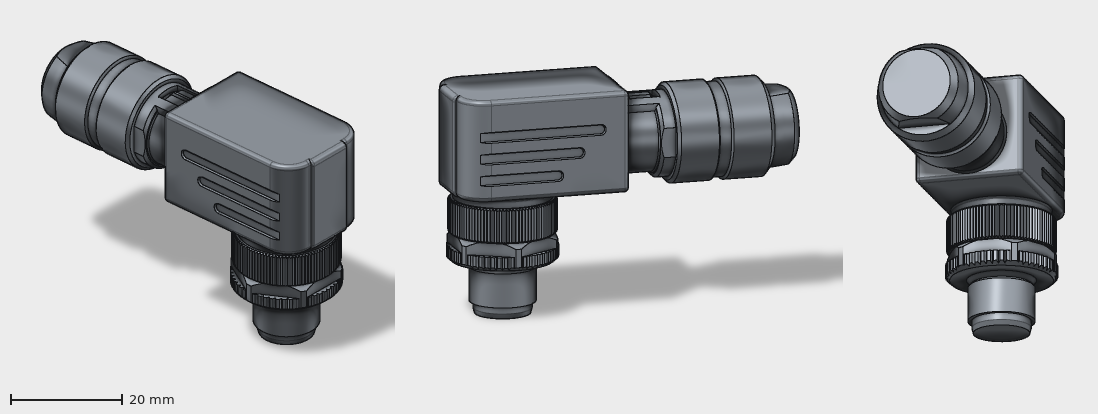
import cadquery as cq
import math

LENGTH = 64.4
PLUG_X = 53.8
PLUG_BOTTOM = -31.05
OVERLAP = 0.65

BODY_START = 33.0
BODY_END = 63.8
BODY_TOP = 10.75
BODY_BOTTOM = -8.0
BODY_WIDTH = 20.1
BODY_CORNER_R = 4.95
BODY_EDGE_R = 0.85

PLATE_WIDTH = 9.0
PLATE_END_R = 1.0
PLATE_SIDE_R = 0.3

SLOT_COUNT = 3
SLOT_WIDTH = 2.0
SLOT_PITCH = 4.0
SLOT_DEPTH = 0.4
SLOT_TAPER = 26.0
SLOT_FIRST_START = 37.35

GLAND_FACE_R = 6.3
GLAND_NOSE_X = 1.2
GLAND_NOSE_R = 7.5
GLAND_FLATS = 13.15
GLAND_SHOULDER_X = 5.1
GLAND_BAND_X = 6.0
GLAND_R = 9.15
GLAND_CONE_R = 8.2
GLAND_END_X = 23.5
GLAND_END_R = 8.55
GLAND_END_CHAMFER = 0.6
GROOVE_R = 8.6
GROOVE_CHAMFER = 0.3
GROOVE_START = 13.1
GROOVE_END = 15.85

COLLAR_R = 7.85
COLLAR_END = 26.3
COLLAR_CHAMFER = 0.6
COLLAR_FLATS = 14.75
NECK_R = 6.75
NECK_FLARE = 0.4
NECK_ROOT = 0.25
KEY_WIDTH = 8.5

LATCH_WIDTH = 5.15
LATCH_POCKET_START = 25.0
LATCH_PAD_START = 25.95
LATCH_PAD_R = 7.4
LATCH_PAD_LEAD = 0.3
RAMP_FOOT_X = 30.0
RAMP_FOOT_Z = 6.75
RAMP_TOP_X = 33.15
RAMP_TOP_Z = 10.55
RIB_TOP = 7.85
RIB_BASE = 7.2
RIB_BASE_WIDTH = 1.15
RIB_TOP_WIDTH = 0.5
RIB_LEAD = 0.5
RIB_END = 31.55

PLUG_NECK_R = 9.0
PLUG_NECK_FLARE = 0.1
PLUG_FLARE_Z = -8.45
KNURL_TOP = -9.6
KNURL_BOTTOM = -16.05
KNURL_R = 9.85
KNURL_COUNT = 100
KNURL_DEPTH = 0.3
KNURL_CHAMFER = 0.4
NUT_R = 10.1
NUT_FLATS = 18.0
NUT_CONE_R = 9.2
NUT_CONE_Z = -17.0
TOOTH_TOP = -18.5
TOOTH_CONE_Z = -20.4
NUT_BOTTOM = -21.1
NUT_BOTTOM_R = 9.35
TOOTH_COUNT = 54
TOOTH_DEPTH = 0.45

UNDERCUT_TOP_R = 6.3
UNDERCUT_R = 5.6
UNDERCUT_Z = -22.0
SLEEVE_R = 6.05
SLEEVE_TOP = -22.5
SLEEVE_BOTTOM = -28.8
TIP_R = 5.35
TIP_END_R = 5.1
TIP_TAPER_Z = -30.1


def box(x0, x1, width, z0, z1):
    """Block centred on the XZ plane."""
    return cq.Workplane("XY").box(x1 - x0, width, z1 - z0, centered=False).translate((x0, -width / 2, z0))


def turned_about_cable(stations):
    """Solid of revolution about the X axis through (x, radius) stations."""
    outline = [(stations[0][0], 0), *stations, (stations[-1][0], 0)]
    return cq.Workplane("XZ").polyline(outline).close().revolve(360, (0, 0), (1, 0))


def turned_about_plug(stations):
    """Solid of revolution about the plug axis through (radius, z) stations."""
    outline = [(0, stations[0][1]), *stations, (0, stations[-1][1])]
    solid = cq.Workplane("XZ").polyline(outline).close().revolve(360, (0, 0), (0, 1))
    return solid.translate((PLUG_X, 0, 0))


def toothed_bar(count, tooth, z0, z1):
    """Vertical bar with teeth; tooth lists (radius, offset in pitches from the tooth middle)."""
    pitch = 2 * math.pi / count
    points = []
    for i in range(count):
        for radius, offset in tooth:
            angle = (i + offset) * pitch + math.pi / 2
            points.append((radius * math.cos(angle), radius * math.sin(angle)))
    return cq.Workplane("XY").polyline(points).close().extrude(z1 - z0).translate((PLUG_X, 0, z0))


def make_housing():
    housing = box(BODY_START, BODY_END, BODY_WIDTH, BODY_BOTTOM, BODY_TOP)
    housing = housing.edges("|Z and >X").fillet(BODY_CORNER_R)
    housing = housing.edges("|Z and <X").fillet(BODY_EDGE_R)
    housing = housing.faces("<Z or >Z").edges().fillet(BODY_EDGE_R)
    plate = box(BODY_END - 2 * OVERLAP, LENGTH, PLATE_WIDTH, BODY_BOTTOM, BODY_TOP)
    plate = plate.edges("|Y and >X").fillet(PLATE_END_R)
    plate = plate.faces(">X").edges("|Z").fillet(PLATE_SIDE_R)
    return housing.union(plate)


def make_grip_slots():
    """Three staggered slots per flank that run out on the rounded back corners."""
    floor_y = BODY_WIDTH / 2 - SLOT_DEPTH
    half = SLOT_WIDTH / 2 - SLOT_DEPTH * math.tan(math.radians(SLOT_TAPER))
    slots = cq.Workplane("XY")
    for i in range(SLOT_COUNT):
        z = SLOT_PITCH * (1 - i)
        arc_x = SLOT_FIRST_START + SLOT_PITCH * i + SLOT_WIDTH / 2
        slot = (
            cq.Workplane("XZ", origin=(0, -floor_y, z))
            .moveTo(BODY_END, half)
            .lineTo(arc_x, half)
            .threePointArc((arc_x - half, 0), (arc_x, -half))
            .lineTo(BODY_END, -half)
            .close()
            .extrude(SLOT_DEPTH, taper=-SLOT_TAPER)
        )
        slots = slots.add(slot).add(slot.mirror("XZ"))
    return slots.combine()


def make_gland():
    """Cable gland with a flatted, conical nose and a grooved grip band."""
    gland = turned_about_cable([
        (0, GLAND_FACE_R),
        (GLAND_NOSE_X, GLAND_NOSE_R),
        (GLAND_SHOULDER_X, GLAND_CONE_R),
        (GLAND_BAND_X, GLAND_R),
        (GROOVE_START, GLAND_R),
        (GROOVE_START + GROOVE_CHAMFER, GROOVE_R),
        (GROOVE_END - GROOVE_CHAMFER, GROOVE_R),
        (GROOVE_END, GLAND_R),
        (GLAND_END_X - GLAND_END_CHAMFER, GLAND_R),
        (GLAND_END_X, GLAND_END_R),
    ])
    above_flat = box(0, GLAND_SHOULDER_X, 2 * GLAND_R, GLAND_FLATS / 2, GLAND_R)
    return gland.cut(above_flat).cut(above_flat.mirror("XY"))


def make_latch():
    """Round pad with a tapered rib along its crest and a ramp up to the housing top."""
    end_x = BODY_START + OVERLAP
    pad = turned_about_cable([
        (LATCH_PAD_START, NECK_R),
        (LATCH_PAD_START + LATCH_PAD_LEAD, LATCH_PAD_R),
        (end_x, LATCH_PAD_R),
    ])
    pad = pad.intersect(box(LATCH_PAD_START, end_x, LATCH_WIDTH, 0, LATCH_PAD_R))
    ramp = (
        cq.Workplane("XZ")
        .polyline([(RAMP_FOOT_X, RAMP_FOOT_Z), (RAMP_TOP_X, RAMP_TOP_Z), (RAMP_TOP_X, RAMP_FOOT_Z)])
        .close()
        .extrude(LATCH_WIDTH / 2, both=True)
    )
    rib_section = (
        cq.Workplane("YZ", origin=(LATCH_PAD_START, 0, 0))
        .polyline([
            (-RIB_BASE_WIDTH / 2, RIB_BASE),
            (RIB_BASE_WIDTH / 2, RIB_BASE),
            (RIB_TOP_WIDTH / 2, RIB_TOP),
            (-RIB_TOP_WIDTH / 2, RIB_TOP),
        ])
        .close()
        .extrude(RIB_END - LATCH_PAD_START)
    )
    rib_side = (
        cq.Workplane("XZ")
        .polyline([
            (LATCH_PAD_START, RIB_BASE),
            (LATCH_PAD_START + RIB_LEAD, RIB_TOP),
            (RIB_END, RIB_TOP),
            (RIB_END, RIB_BASE),
        ])
        .close()
        .extrude(RIB_BASE_WIDTH, both=True)
    )
    return pad.union(ramp).union(rib_section.intersect(rib_side))


def make_neck():
    """Flatted collar, neck, and the key that carries the collar surface on to the housing."""
    neck_start = GLAND_END_X - OVERLAP
    neck_end = BODY_START + OVERLAP
    flare_start = BODY_START - NECK_FLARE
    collar = turned_about_cable([
        (neck_start, COLLAR_R),
        (COLLAR_END - COLLAR_CHAMFER, COLLAR_R),
        (COLLAR_END, COLLAR_R - COLLAR_CHAMFER),
    ])
    collar = collar.intersect(box(neck_start, COLLAR_END, COLLAR_FLATS, -COLLAR_R, COLLAR_R))
    key = turned_about_cable([
        (neck_start, COLLAR_R),
        (flare_start, COLLAR_R),
        (BODY_START, COLLAR_R + NECK_FLARE),
        (neck_end, COLLAR_R + NECK_FLARE),
    ])
    key = key.intersect(box(neck_start, neck_end, KEY_WIDTH, 0, BODY_TOP))
    neck = turned_about_cable([
        (neck_start, NECK_R),
        (COLLAR_END, NECK_R),
        (COLLAR_END, NECK_R + NECK_ROOT),
        (COLLAR_END + NECK_ROOT, NECK_R),
        (flare_start, NECK_R),
        (BODY_START, NECK_R + NECK_FLARE),
        (neck_end, NECK_R + NECK_FLARE),
    ])
    pocket = box(LATCH_POCKET_START, BODY_START, LATCH_WIDTH, 0, BODY_TOP)
    return collar.union(key).cut(pocket).union(neck).union(make_latch())


def make_knurled_ring():
    blank = turned_about_plug([
        (KNURL_R - KNURL_CHAMFER, KNURL_TOP),
        (KNURL_R, KNURL_TOP - KNURL_CHAMFER),
        (KNURL_R, KNURL_BOTTOM + KNURL_CHAMFER),
        (KNURL_R - KNURL_CHAMFER, KNURL_BOTTOM),
    ])
    ridge = [(KNURL_R, 0), (KNURL_R - KNURL_DEPTH, 0.5)]
    return blank.intersect(toothed_bar(KNURL_COUNT, ridge, KNURL_BOTTOM, KNURL_TOP))


def make_coupling_nut():
    """Hexagon with rounded-off corners running down through a toothed rim."""
    blank = turned_about_plug([
        (NUT_CONE_R, KNURL_BOTTOM),
        (NUT_R, NUT_CONE_Z),
        (NUT_R, TOOTH_CONE_Z),
        (NUT_BOTTOM_R, NUT_BOTTOM),
    ])
    across_corners = NUT_FLATS / math.cos(math.pi / 6)
    hexagon = (
        cq.Workplane("XY", origin=(PLUG_X, 0, NUT_BOTTOM))
        .transformed(rotate=(0, 0, 30))
        .polygon(6, across_corners)
        .extrude(KNURL_BOTTOM - NUT_BOTTOM)
    )
    tooth = [(NUT_R, -0.25), (NUT_R, 0.25), (NUT_R - TOOTH_DEPTH, 0.5)]
    rim = toothed_bar(TOOTH_COUNT, tooth, NUT_BOTTOM, TOOTH_TOP)
    return blank.intersect(hexagon.union(rim))


def make_plug():
    neck = turned_about_plug([
        (PLUG_NECK_R + PLUG_NECK_FLARE, BODY_BOTTOM + OVERLAP),
        (PLUG_NECK_R + PLUG_NECK_FLARE, BODY_BOTTOM),
        (PLUG_NECK_R, PLUG_FLARE_Z),
        (PLUG_NECK_R, KNURL_TOP - OVERLAP),
    ])
    core = turned_about_plug([
        (UNDERCUT_TOP_R, KNURL_TOP),
        (UNDERCUT_TOP_R, NUT_BOTTOM),
        (UNDERCUT_R, UNDERCUT_Z),
        (SLEEVE_R, SLEEVE_TOP),
        (SLEEVE_R, SLEEVE_BOTTOM),
        (TIP_R, SLEEVE_BOTTOM),
        (TIP_R, TIP_TAPER_Z),
        (TIP_END_R, PLUG_BOTTOM),
    ])
    return neck.union(core).union(make_knurled_ring()).union(make_coupling_nut())


housing = make_housing().cut(make_grip_slots())
result = housing.union(make_neck()).union(make_gland()).union(make_plug())